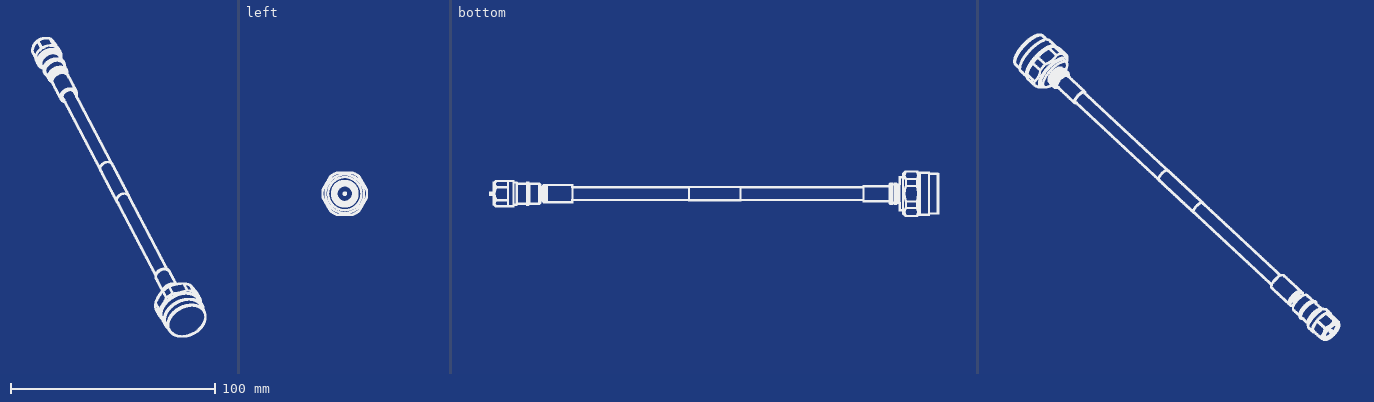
import cadquery as cq
import math

OVERALL_LENGTH = 219.9

CABLE_DIAMETER = 6.4
LABEL_DIAMETER = 6.5
LABEL_START = 97.6
LABEL_LENGTH = 25.0

F_NUT_START = 1.8
F_NUT_END = 11.7
F_NUT_DIAMETER = 12.5
F_NUT_ACROSS_FLATS = 11.0
F_NUT_LIP_DIAMETER = 10.8
F_NUT_LIP_LENGTH = 0.5
F_NUT_CHAMFER_LENGTH = 0.9
F_COLLAR_START = 8.8
F_BORE_DIAMETER = 8.1
F_BORE_CHAMFER = 0.7

PIN_DIAMETER = 1.0
F_FACE_X = F_NUT_START + F_BORE_CHAMFER
F_SHOULDER_DIAMETER = 11.0
F_SHOULDER_END = 13.0
F_SHOULDER_TAPER = 0.5
F_BARREL_DIAMETER = 10.0
F_BARREL_END = 24.8
F_BARREL_CHAMFER = 0.7
F_RIB_START = 18.2
F_RIB_LENGTH = 0.5
F_RIB_TAPER = 0.7
F_NECK_DIAMETER = 6.4
F_SLEEVE_START = 25.7
F_SLEEVE_END = 40.5
F_SLEEVE_DIAMETER = 8.5
F_SLEEVE_CHAMFER = 0.9
F_GROOVE_START = 27.3
F_GROOVE_WIDTH = 0.7
F_GROOVE_DEPTH = 0.2

N_SLEEVE_START = 183.0
N_SLEEVE_END = 195.7
N_SLEEVE_DIAMETER = 7.5
N_NECK_DIAMETER = 9.0
N_RIB_DIAMETER = 10.0
N_RIB_TAPER = 0.7
N_RIB_LENGTH = 0.7
N_RIB_GAP = 1.3
N_FLANGE_START = 200.7
N_FLANGE_DIAMETER = 16.3

N_NUT_START = 202.3
N_NUT_FACE_DIAMETER = 19.0
N_NUT_DIAMETER = 22.0
N_NUT_ACROSS_FLATS = 20.7
N_HEX_START = 203.8
N_HEX_END = 209.3
N_GROOVE_DIAMETER = 19.8
N_GROOVE_START = 210.0
N_BAND_START = 210.6
N_BAND_END = 215.2
N_BAND_DIAMETER = 20.7
N_TAIL_DIAMETER = 19.5
N_RIM_LENGTH = 0.7
N_RIM_DEPTH = 0.1


def turned(outline):
    """Solid of revolution about the X axis; the outline lists (x, diameter) points from end to end."""
    points = [(x, diameter / 2) for x, diameter in outline]
    closed = [(points[0][0], 0), *points, (points[-1][0], 0)]
    return cq.Workplane("XY").polyline(closed).close().revolve(360, (0, 0, 0), (1, 0, 0))


def rod(start, end, diameter):
    """Plain cylinder on the X axis."""
    return turned([(start, diameter), (end, diameter)])


def hexagon(start, end, across_flats):
    """Hexagonal bar on the X axis, with flats on +Z and -Z and corners on +Y and -Y."""
    across_corners = across_flats / math.cos(math.radians(30))
    bar = cq.Workplane("YZ").polygon(6, across_corners).extrude(end - start)
    return bar.translate((start, 0, 0))


def make_cable():
    """Cable running from inside the F crimp sleeve to the end of the N crimp sleeve."""
    return rod(F_SLEEVE_START + F_SLEEVE_CHAMFER, N_SLEEVE_END, CABLE_DIAMETER)


def make_label():
    """Thin tube around the middle of the cable."""
    label_end = LABEL_START + LABEL_LENGTH
    wrap = rod(LABEL_START, label_end, LABEL_DIAMETER)
    return wrap.cut(rod(LABEL_START, label_end, CABLE_DIAMETER))


def make_f_nut():
    """Nut with a short front lip, a hexagon, a round collar behind it and a chamfered through bore."""
    lip_end = F_NUT_START + F_NUT_LIP_LENGTH
    hex_part = turned([
        (F_NUT_START, F_NUT_LIP_DIAMETER),
        (lip_end, F_NUT_LIP_DIAMETER),
        (lip_end + F_NUT_CHAMFER_LENGTH, F_NUT_DIAMETER),
        (F_COLLAR_START, F_NUT_DIAMETER),
    ])
    hex_part = hex_part.intersect(hexagon(F_NUT_START, F_COLLAR_START, F_NUT_ACROSS_FLATS))
    collar = rod(F_COLLAR_START, F_NUT_END, F_NUT_DIAMETER)
    bore = turned([
        (F_NUT_START, F_BORE_DIAMETER + 2 * F_BORE_CHAMFER),
        (F_NUT_START + F_BORE_CHAMFER, F_BORE_DIAMETER),
        (F_NUT_END, F_BORE_DIAMETER),
    ])
    return hex_part.union(collar).cut(bore)


def make_f_body():
    """Pin, spigot inside the nut, ribbed barrel, neck and crimp sleeve bored for the cable."""
    rib_end = F_RIB_START + F_RIB_LENGTH
    groove_end = F_GROOVE_START + F_GROOVE_WIDTH
    groove_floor = F_SLEEVE_DIAMETER - 2 * F_GROOVE_DEPTH
    body = turned([
        (0, PIN_DIAMETER),
        (F_FACE_X, PIN_DIAMETER),
        (F_FACE_X, F_BORE_DIAMETER),
        (F_NUT_END, F_BORE_DIAMETER),
        (F_NUT_END, F_SHOULDER_DIAMETER),
        (F_SHOULDER_END, F_SHOULDER_DIAMETER),
        (F_SHOULDER_END + F_SHOULDER_TAPER, F_BARREL_DIAMETER),
        (F_RIB_START, F_BARREL_DIAMETER),
        (F_RIB_START, F_SHOULDER_DIAMETER),
        (rib_end, F_SHOULDER_DIAMETER),
        (rib_end + F_RIB_TAPER, F_BARREL_DIAMETER),
        (F_BARREL_END - F_BARREL_CHAMFER, F_BARREL_DIAMETER),
        (F_BARREL_END, F_BARREL_DIAMETER - 2 * F_BARREL_CHAMFER),
        (F_BARREL_END, F_NECK_DIAMETER),
        (F_SLEEVE_START, F_NECK_DIAMETER),
        (F_SLEEVE_START + F_SLEEVE_CHAMFER, F_SLEEVE_DIAMETER),
        (F_GROOVE_START, F_SLEEVE_DIAMETER),
        (F_GROOVE_START, groove_floor),
        (groove_end, groove_floor),
        (groove_end, F_SLEEVE_DIAMETER),
        (F_SLEEVE_END, F_SLEEVE_DIAMETER),
    ])
    return body.cut(make_cable())


def make_n_body():
    """Crimp sleeve bored for the cable, a neck with two half-tapered ribs, and the nut flange."""
    rib_1_start = N_SLEEVE_END + N_RIB_TAPER
    rib_1_end = rib_1_start + N_RIB_LENGTH
    rib_2_start = rib_1_end + N_RIB_GAP
    rib_2_end = rib_2_start + N_RIB_LENGTH
    body = turned([
        (N_SLEEVE_START, N_SLEEVE_DIAMETER),
        (N_SLEEVE_END, N_SLEEVE_DIAMETER),
        (N_SLEEVE_END, N_NECK_DIAMETER),
        (rib_1_start, N_RIB_DIAMETER),
        (rib_1_end, N_RIB_DIAMETER),
        (rib_1_end, N_NECK_DIAMETER),
        (rib_2_start, N_NECK_DIAMETER),
        (rib_2_start, N_RIB_DIAMETER),
        (rib_2_end, N_RIB_DIAMETER),
        (rib_2_end + N_RIB_TAPER, N_NECK_DIAMETER),
        (N_FLANGE_START, N_NECK_DIAMETER),
        (N_FLANGE_START, N_FLANGE_DIAMETER),
        (N_NUT_START, N_FLANGE_DIAMETER),
    ])
    return body.cut(make_cable())


def make_n_nut():
    """Hexagon with turned-down corners, a groove, a round band and a rimmed tail."""
    hex_part = turned([
        (N_NUT_START, N_NUT_FACE_DIAMETER),
        (N_HEX_START, N_NUT_DIAMETER),
        (N_HEX_END, N_NUT_DIAMETER),
        (N_GROOVE_START, N_GROOVE_DIAMETER),
    ])
    hex_part = hex_part.intersect(hexagon(N_NUT_START, N_GROOVE_START, N_NUT_ACROSS_FLATS))
    rim_start = OVERALL_LENGTH - N_RIM_LENGTH
    rim_diameter = N_TAIL_DIAMETER - 2 * N_RIM_DEPTH
    round_part = turned([
        (N_GROOVE_START, N_GROOVE_DIAMETER),
        (N_BAND_START, N_GROOVE_DIAMETER),
        (N_BAND_START, N_BAND_DIAMETER),
        (N_BAND_END, N_BAND_DIAMETER),
        (N_BAND_END, N_TAIL_DIAMETER),
        (rim_start, N_TAIL_DIAMETER),
        (rim_start, rim_diameter),
        (OVERALL_LENGTH, rim_diameter),
    ])
    return hex_part.union(round_part)


cable = make_cable()
label = make_label()
f_nut = make_f_nut()
f_body = make_f_body()
n_body = make_n_body()
n_nut = make_n_nut()

result = cq.Compound.makeCompound([
    cable.val(),
    label.val(),
    f_nut.val(),
    f_body.val(),
    n_body.val(),
    n_nut.val(),
])